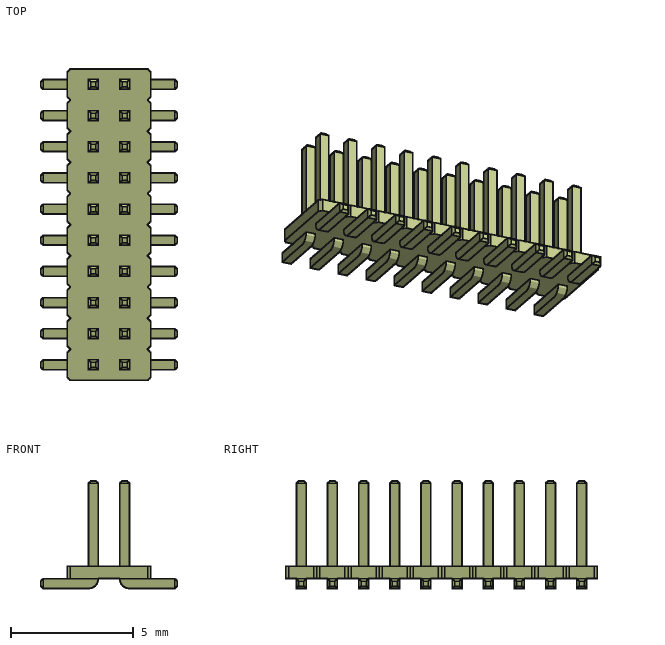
import cadquery as cq

pitch = 1.27
positions = 10
strip_length = positions * pitch
strip_width = 3.4
strip_height = 0.51
notch_depth = 0.13

overall_width = 5.58
overall_height = 4.4
pin_size = 0.41
bend_radius = pin_size
tip_chamfer = 0.1

strip_bottom = pin_size


def make_strip_cell(y):
    """One pitch of the insulator; neighbouring corner chamfers meet as V notches."""
    return (
        cq.Workplane("XY", origin=(0, y, strip_bottom))
        .rect(strip_width, pitch)
        .extrude(strip_height)
        .edges("|Z")
        .chamfer(notch_depth)
    )


def make_tip(plane):
    """Tapered square tip growing from the given plane."""
    tip_size = pin_size - 2 * tip_chamfer
    return (
        cq.Workplane(plane)
        .rect(pin_size, pin_size)
        .workplane(offset=tip_chamfer)
        .rect(tip_size, tip_size)
        .loft()
    )


def make_pin():
    """Bent pin of the +X row, centred on Y = 0."""
    inner_x = (pitch - pin_size) / 2
    outer_x = inner_x + pin_size
    foot_end = overall_width / 2 - tip_chamfer
    post_top = overall_height - tip_chamfer

    shank = (
        cq.Workplane("XZ")
        .moveTo(inner_x, post_top)
        .lineTo(inner_x, bend_radius)
        .radiusArc((inner_x + bend_radius, 0), -bend_radius)
        .lineTo(foot_end, 0)
        .lineTo(foot_end, pin_size)
        .lineTo(outer_x, pin_size)
        .lineTo(outer_x, post_top)
        .close()
        .extrude(pin_size / 2, both=True)
    )
    post_plane = cq.Plane(origin=(pitch / 2, 0, post_top), normal=(0, 0, 1))
    foot_plane = cq.Plane(origin=(foot_end, 0, pin_size / 2), xDir=(0, 1, 0), normal=(1, 0, 0))
    return shank.union(make_tip(post_plane)).union(make_tip(foot_plane))


row_centres = [(i + 0.5) * pitch - strip_length / 2 for i in range(positions)]
right_pin = make_pin()
left_pin = right_pin.mirror("YZ")

result = make_strip_cell(row_centres[0])
for y in row_centres[1:]:
    result = result.union(make_strip_cell(y))
for y in row_centres:
    result = result.union(right_pin.translate((0, y, 0)))
    result = result.union(left_pin.translate((0, y, 0)))